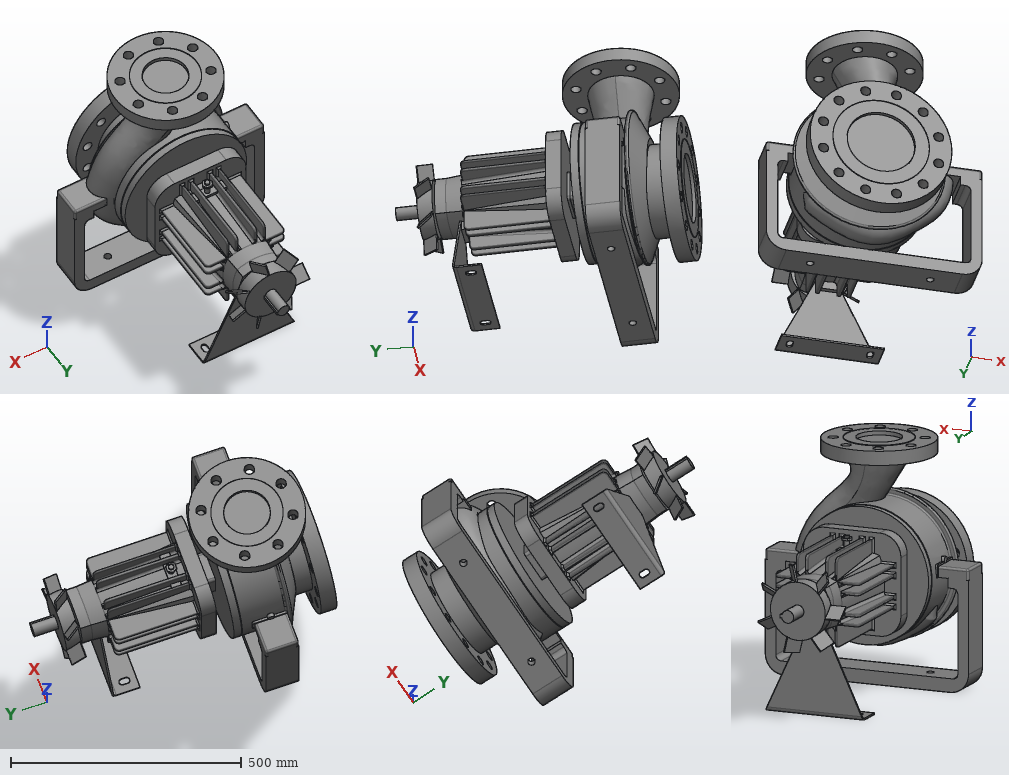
import cadquery as cq
import math


BASE_Z = -254.0
DISCHARGE_Z = 292.1
SUCTION_Y = -152.4
SHAFT_END_Y = 495.3
SUCTION_DROP = 15.875
OVERLAP = 3.0

BOLT_HOLE_DIA = 22.23
RAISED_FACE = 1.6
SUCTION_FLANGE_DIA = 317.5
SUCTION_RAISED_DIA = 215.9
SUCTION_BORE_DIA = 152.4
SUCTION_BOLT_CIRCLE = 266.7
SUCTION_BOLTS = 12
SUCTION_FLANGE_THICK = 36.5
SUCTION_BORE_DEPTH = 8.0
DISCHARGE_FLANGE_DIA = 255.0
DISCHARGE_RAISED_DIA = 157.16
DISCHARGE_BORE_DIA = 101.6
DISCHARGE_BOLT_CIRCLE = 200.0
DISCHARGE_BOLTS = 8
DISCHARGE_FLANGE_THICK = 31.75
DISCHARGE_BORE_DEPTH = 9.0

CASING_DIA = 309.0
CASING_BACK_Y = 85.0
JOINT_Y = 66.5
JOINT_WIDTH = 1.5
JOINT_DEPTH = 1.0
LIP_RADIUS = 170.5
LIP_BACK_Y = -37.5
LIP_FRONT_Y = -46.0
LIP_ROUND = 4.0
LIP_ROOT_RADIUS = 4.0
CONE_FRONT_Y = -76.0
CONE_FRONT_RADIUS = 104.0
CONE_BACK_RADIUS = 166.5
SUCTION_NECK_DIA = 206.0

SCROLL_SECTIONS = [
    (-165.0, 152.0, 60.0, 60.0),
    (-140.0, 169.0, 60.0, 68.0),
    (-100.0, 171.0, 62.0, 68.0),
    (-70.0, 176.0, 66.0, 68.0),
    (-46.0, 173.0, 70.0, 72.0),
    (-23.0, 187.5, 84.0, 80.0),
    (3.0, 197.0, 90.0, 86.0),
]
SCROLL_LEAD = 6.0

OUTLET_SECTIONS = [
    (119.5, 85.0, 124.0, 88.0, 92.0),
    (58.0, 143.0, 131.0, 94.0, 98.0),
    (19.0, 196.0, 115.0, 93.0, 118.0),
    (5.5, 234.0, 95.0, 122.0, 135.0),
    (0.0, DISCHARGE_Z - RAISED_FACE - DISCHARGE_FLANGE_THICK + OVERLAP, 90.0, 143.0, 146.0),
]

FRAME_LEFT_X = -228.6
FRAME_RIGHT_X = 254.0
FRAME_WIDTH = 76.2
FRAME_TOP_Z = 25.4
FRAME_WALL = 25.4
FRAME_FLOOR = 31.0
FRAME_OUTER_RADIUS = 44.45
FRAME_INNER_RADIUS = 12.7
ARM_BOTTOM_Z = -20.5
ARM_STEP_Z = 1.0
ARM_HOOK = 23.0
ARM_EDGE_ROUND = 5.0
EAR_WIDTH = 86.0
EAR_OUTER_X = 157.0
EAR_INNER_X = 140.0
EAR_TOP_Z = 29.5
PIN_DIA = 16.0
PIN_Z = 31.5
PIN_END_X = 158.0
FRAME_HOLE_DIA = 16.0
FRAME_HOLE_INSET = 107.0

PLATE_BACK_Y = 146.0
PLATE_FRONT_Y = 112.0
PLATE_SIZE = 231.0
PLATE_CORNER = 50.0
NECK_SIZE = 72.0
NECK_ROUND = 6.5
NECK_SHOULDER = 2.0
NECK_SHOULDER_LENGTH = 6.0
CAP_END_Y = 401.5
CAP_START_Y = 377.0
BODY_CORNER = 47.0
BODY_BULGE = 58.0
WAIST_Y = 341.0
WAIST_CORNER = 49.5
WAIST_BULGE = 61.0
BASE_CORNER = 65.0
BASE_BULGE = 76.5
FIN_END_Y = 338.0
FIN_TIP = 100.5
FIN_ROOT = 40.0
FIN_ROUND = 11.0
FIN_FACES = [(20.5, 27.5), (43.5, 49.0)]
FIN_ROOT_RADIUS = 6.5
FIN_ROOT_RISE = 0.3
FIN_EDGE_ROUND = 1.5
FIN_FOOT = 4.0
NAME_BAR_Y = 175.0
NAME_BAR_WIDTH = 23.0
NAME_BAR_TOP = 79.0
NIPPLE_HEX = 25.0
NIPPLE_HEX_BOTTOM = 101.0
NIPPLE_HEX_TOP = 106.0
NIPPLE_DIA = 12.0
NIPPLE_TOP = 110.0

SHAFT_DIA = 28.56
COLLAR_DIA = 35.0
KEY_WIDTH = 8.0
KEY_TOP = 17.5
FAN_BACK_Y = 440.0
FAN_FRONT_Y = 406.0
FAN_HUB_DIA = 130.0
FAN_TIP_RADIUS = 100.0
FAN_BLADES = 7
BLADE_THICK = 4.0
BLADE_TILT = 36.0

FOOT_BACK_Y = 352.0
FOOT_THICK = 4.0
FOOT_FRONT_Y = 287.5
FOOT_HALF_WIDTH = 115.0
FOOT_TOP_HALF_WIDTH = 24.0
FOOT_TOP_Z = -55.0
FOOT_BEND_RADIUS = 9.5
SLOT_X = 90.0
SLOT_Y = 315.0
SLOT_LENGTH = 24.0
SLOT_WIDTH = 14.0
PAD_BOTTOM_Z = -80.0
PAD_WIDTH = 48.0


def cylinder_y(diameter, y_start, y_end, z=0.0):
    """Solid cylinder along Y between two stations."""
    return (
        cq.Workplane("XZ", origin=(0, y_start, z))
        .circle(diameter / 2)
        .extrude(y_start - y_end)
    )


def block(x_range, y_range, z_range):
    """Box spanning the given (low, high) ranges."""
    spans = (x_range, y_range, z_range)
    sizes = [high - low for low, high in spans]
    middle = tuple((low + high) / 2 for low, high in spans)
    return cq.Workplane("XY").box(*sizes).translate(middle)


def pipe_flange(diameter, thickness, raised_dia, bolt_circle, bolts):
    """Flange with its raised face at Z = 0 and its bolt holes straddling the axes."""
    flange = (
        cq.Workplane("XY", origin=(0, 0, -RAISED_FACE))
        .circle(diameter / 2)
        .extrude(-thickness)
    )
    flange = flange.union(cq.Workplane("XY").circle(raised_dia / 2).extrude(-RAISED_FACE - OVERLAP))
    holes = (
        cq.Workplane("XY")
        .polarArray(bolt_circle / 2, 180.0 / bolts, 360, bolts)
        .circle(BOLT_HOLE_DIA / 2)
        .extrude(-thickness - 2 * RAISED_FACE)
    )
    return flange.cut(holes)


def suction_flange():
    flange = pipe_flange(
        SUCTION_FLANGE_DIA, SUCTION_FLANGE_THICK, SUCTION_RAISED_DIA, SUCTION_BOLT_CIRCLE, SUCTION_BOLTS
    )
    flange = flange.rotate((0, 0, 0), (1, 0, 0), 90)
    return flange.translate((0, SUCTION_Y, -SUCTION_DROP))


def discharge_flange():
    flange = pipe_flange(
        DISCHARGE_FLANGE_DIA,
        DISCHARGE_FLANGE_THICK,
        DISCHARGE_RAISED_DIA,
        DISCHARGE_BOLT_CIRCLE,
        DISCHARGE_BOLTS,
    )
    return flange.translate((0, 0, DISCHARGE_Z))


def volute():
    """Tube that winds out of the casing and rises to the discharge flange."""
    stations = []
    for angle, outer_radius, in_plane, across in SCROLL_SECTIONS:
        turn = math.radians(angle)
        radius = outer_radius - in_plane / 2
        flow = angle + 90.0 - SCROLL_LEAD
        stations.append((radius * math.cos(turn), radius * math.sin(turn), flow, in_plane, across))
    stations += OUTLET_SECTIONS

    wires = []
    for x, z, flow, in_plane, across in stations:
        turn = math.radians(flow)
        plane = cq.Plane(
            origin=(x, 0, z),
            xDir=(0, 1, 0),
            normal=(math.cos(turn), 0, math.sin(turn)),
        )
        section = cq.Workplane(plane).ellipse(across / 2, in_plane / 2)
        wires.append(section.val())
    return cq.Workplane("XY").newObject([cq.Solid.makeLoft(wires)])


def casing():
    body = cylinder_y(CASING_DIA, LIP_FRONT_Y, CASING_BACK_Y)
    groove = cylinder_y(CASING_DIA + 2, JOINT_Y - JOINT_WIDTH / 2, JOINT_Y + JOINT_WIDTH / 2)
    groove = groove.cut(cylinder_y(CASING_DIA - 2 * JOINT_DEPTH, JOINT_Y - JOINT_WIDTH, JOINT_Y + JOINT_WIDTH))
    lip = cylinder_y(2 * LIP_RADIUS, LIP_FRONT_Y, LIP_BACK_Y).edges().fillet(LIP_ROUND)
    casing_radius = CASING_DIA / 2
    hollow_diagonal = LIP_ROOT_RADIUS * (1 - math.sqrt(0.5))
    lip_root = (
        cq.Workplane("XY")
        .moveTo(casing_radius, LIP_BACK_Y + LIP_ROOT_RADIUS)
        .threePointArc(
            (casing_radius + hollow_diagonal, LIP_BACK_Y + hollow_diagonal),
            (casing_radius + LIP_ROOT_RADIUS, LIP_BACK_Y),
        )
        .lineTo(casing_radius, LIP_FRONT_Y + LIP_ROUND)
        .close()
        .revolve(360, (0, 0, 0), (0, 1, 0))
    )
    cone = (
        cq.Workplane("XY")
        .moveTo(0, LIP_BACK_Y)
        .lineTo(CONE_BACK_RADIUS, LIP_BACK_Y)
        .lineTo(CONE_BACK_RADIUS, LIP_FRONT_Y)
        .lineTo(CONE_FRONT_RADIUS, CONE_FRONT_Y)
        .lineTo(0, CONE_FRONT_Y)
        .close()
        .revolve(360, (0, 0, 0), (0, 1, 0))
    )
    neck_front = SUCTION_Y + RAISED_FACE + SUCTION_FLANGE_THICK - OVERLAP
    neck = cylinder_y(SUCTION_NECK_DIA, neck_front, LIP_FRONT_Y, -SUCTION_DROP)
    return body.cut(groove).union(lip).union(lip_root).union(cone).union(neck)


def support_frame():
    """U-shaped frame whose hooked arms carry the casing by two ears."""
    half_width = FRAME_WIDTH / 2
    y_range = (-half_width, half_width)
    left_inside = FRAME_LEFT_X + FRAME_WALL
    right_inside = FRAME_RIGHT_X - FRAME_WALL
    floor_z = BASE_Z + FRAME_FLOOR
    frame = block((FRAME_LEFT_X, FRAME_RIGHT_X), y_range, (BASE_Z, ARM_STEP_Z))
    frame = frame.edges("|Y and <Z").fillet(FRAME_OUTER_RADIUS)
    window = block((left_inside, right_inside), y_range, (floor_z, ARM_BOTTOM_Z))
    frame = frame.cut(window.edges("|Y").fillet(FRAME_INNER_RADIUS))
    gap = (left_inside + ARM_HOOK, right_inside - ARM_HOOK)
    frame = frame.cut(block(gap, y_range, (ARM_BOTTOM_Z - OVERLAP, ARM_STEP_Z)))

    arms = block((FRAME_LEFT_X, FRAME_RIGHT_X), y_range, (ARM_STEP_Z, FRAME_TOP_Z))
    arms = arms.edges(">Z or |Z").fillet(ARM_EDGE_ROUND)
    arms = arms.cut(block((-EAR_INNER_X, EAR_INNER_X), y_range, (ARM_STEP_Z, FRAME_TOP_Z)))
    frame = frame.union(arms)

    for side in (-1, 1):
        x_range = sorted((side * EAR_INNER_X, side * EAR_OUTER_X))
        ear = block(x_range, (-EAR_WIDTH / 2, EAR_WIDTH / 2), (ARM_STEP_Z, EAR_TOP_Z))
        frame = frame.union(ear.edges("|X and >Z").fillet(ARM_EDGE_ROUND))
        pin = (
            cq.Workplane("YZ", origin=(side * EAR_INNER_X, 0, PIN_Z))
            .circle(PIN_DIA / 2)
            .extrude(side * (PIN_END_X - EAR_INNER_X))
        )
        frame = frame.union(pin)

    hole_places = [(FRAME_LEFT_X + FRAME_HOLE_INSET, 0), (FRAME_RIGHT_X - FRAME_HOLE_INSET, 0)]
    holes = (
        cq.Workplane("XY", origin=(0, 0, BASE_Z))
        .pushPoints(hole_places)
        .circle(FRAME_HOLE_DIA / 2)
        .extrude(FRAME_FLOOR)
    )
    return frame.cut(holes)


def barrel_wire(y, corner, bulge):
    """Square with bowed sides, in the XZ plane at station y."""
    outline = (
        cq.Workplane("XZ", origin=(0, y, 0))
        .moveTo(-corner, -corner)
        .threePointArc((0, -bulge), (corner, -corner))
        .threePointArc((bulge, 0), (corner, corner))
        .threePointArc((0, bulge), (-corner, corner))
        .threePointArc((-bulge, 0), (-corner, -corner))
        .close()
    )
    return outline.val()


def barrel(start, end):
    """Straight-sided body between two bowed squares, each given as (y, corner, bulge)."""
    return cq.Workplane("XY").newObject([cq.Solid.makeLoft([barrel_wire(*start), barrel_wire(*end)], True)])


def barrel_height(x, corner, bulge):
    """Height of a bowed side above the axis at offset x."""
    rise = bulge - corner
    radius = (corner ** 2 + rise ** 2) / (2 * rise)
    return bulge - radius + math.sqrt(radius ** 2 - x ** 2)


def root_wire(inner_face, y, corner, bulge):
    """Section of the hollow that blends a fin's inner face into the body at station y."""
    rim_x = inner_face - FIN_ROOT_RADIUS
    rim_z = barrel_height(rim_x, corner, bulge) + FIN_ROOT_RISE
    diagonal = FIN_ROOT_RADIUS * math.sqrt(0.5)
    embedded_x = inner_face + OVERLAP
    outline = (
        cq.Workplane("XZ", origin=(0, y, 0))
        .moveTo(rim_x, FIN_ROOT)
        .lineTo(rim_x, rim_z)
        .threePointArc(
            (rim_x + diagonal, rim_z + FIN_ROOT_RADIUS - diagonal),
            (inner_face, rim_z + FIN_ROOT_RADIUS),
        )
        .lineTo(embedded_x, rim_z + FIN_ROOT_RADIUS)
        .lineTo(embedded_x, FIN_ROOT)
        .close()
    )
    return outline.val()


def cooling_fin(inner_face, outer_face):
    """Fin on the top side at +X with its foot flare and root hollow and a rounded free corner."""
    corners = [(inner_face, FIN_ROOT), (outer_face, FIN_ROOT), (outer_face, FIN_TIP), (inner_face, FIN_TIP)]
    start_y = PLATE_BACK_Y - OVERLAP
    profile = cq.Workplane("XZ", origin=(0, start_y, 0)).polyline(corners).close()
    fin = profile.extrude(start_y - FIN_END_Y)
    fin = fin.edges("|X and >Y and >Z").fillet(FIN_ROUND)
    fin = fin.faces(">Z").edges("|Y").fillet(FIN_EDGE_ROUND)
    foot = (
        cq.Workplane("XZ", origin=(0, PLATE_BACK_Y, 0))
        .polyline(corners)
        .close()
        .offset2D(FIN_FOOT, "intersection")
        .extrude(-FIN_FOOT, taper=45)
    )
    root = cq.Solid.makeLoft(
        [
            root_wire(inner_face, PLATE_BACK_Y, BASE_CORNER, BASE_BULGE),
            root_wire(inner_face, WAIST_Y, WAIST_CORNER, WAIST_BULGE),
        ],
        True,
    )
    return fin.union(foot).union(cq.Workplane(root))


def grease_nipple():
    stem = (
        cq.Workplane("XY", origin=(0, NAME_BAR_Y, 0))
        .circle(NIPPLE_DIA / 2)
        .extrude(NIPPLE_TOP)
    )
    nut = (
        cq.Workplane("XY", origin=(0, NAME_BAR_Y, NIPPLE_HEX_BOTTOM))
        .polygon(6, NIPPLE_HEX)
        .extrude(NIPPLE_HEX_TOP - NIPPLE_HEX_BOTTOM)
    )
    return stem.union(nut)


def bearing_housing():
    plate = block(
        (-PLATE_SIZE / 2, PLATE_SIZE / 2), (PLATE_FRONT_Y, PLATE_BACK_Y), (-PLATE_SIZE / 2, PLATE_SIZE / 2)
    )
    housing = plate.edges("|Y").fillet(PLATE_CORNER)
    neck_start = CASING_BACK_Y - OVERLAP
    for size, y_start in (
        (NECK_SIZE, neck_start),
        (NECK_SIZE + 2 * NECK_SHOULDER, PLATE_FRONT_Y - NECK_SHOULDER_LENGTH),
    ):
        across = (-size / 2, size / 2)
        neck = block(across, (y_start, PLATE_FRONT_Y + OVERLAP), across)
        housing = housing.union(neck.edges("|Y").fillet(NECK_ROUND))

    base = (PLATE_BACK_Y, BASE_CORNER, BASE_BULGE)
    waist = (WAIST_Y, WAIST_CORNER, WAIST_BULGE)
    cap_start = (CAP_START_Y, BODY_CORNER, BODY_BULGE)
    cap_end = (CAP_END_Y, BODY_CORNER, BODY_BULGE)
    housing = housing.union(barrel(base, waist)).union(barrel(waist, cap_start)).union(barrel(cap_start, cap_end))

    name_bar = block(
        (-BODY_CORNER, BODY_CORNER),
        (NAME_BAR_Y - NAME_BAR_WIDTH / 2, NAME_BAR_Y + NAME_BAR_WIDTH / 2),
        (0, NAME_BAR_TOP),
    )
    housing = housing.union(name_bar).union(grease_nipple())

    side = cq.Workplane("XY")
    for faces in FIN_FACES:
        fin = cooling_fin(*faces)
        side = side.add(fin).add(fin.mirror("YZ"))
    fins = cq.Workplane("XY")
    for quarter in range(4):
        for fin in side.vals():
            fins = fins.add(fin.rotate((0, 0, 0), (0, 1, 0), 90 * quarter))
    return housing.union(fins)


def shaft_and_fan():
    shaft = cylinder_y(SHAFT_DIA, CAP_START_Y, SHAFT_END_Y)
    shaft = shaft.union(cylinder_y(COLLAR_DIA, CAP_START_Y, FAN_FRONT_Y + OVERLAP))
    key = block((0, KEY_TOP), (FAN_BACK_Y - OVERLAP, SHAFT_END_Y), (-KEY_WIDTH / 2, KEY_WIDTH / 2))
    fan = cylinder_y(FAN_HUB_DIA, FAN_FRONT_Y, FAN_BACK_Y)
    middle_y = (FAN_FRONT_Y + FAN_BACK_Y) / 2
    tilt = math.radians(BLADE_TILT)
    blade_length = (FAN_BACK_Y - FAN_FRONT_Y - BLADE_THICK * math.sin(tilt)) / math.cos(tilt)
    root = FAN_HUB_DIA / 2 - 2 * OVERLAP
    blade = block(
        (-FAN_TIP_RADIUS, -root), (-blade_length / 2, blade_length / 2), (-BLADE_THICK / 2, BLADE_THICK / 2)
    )
    blade = blade.rotate((0, 0, 0), (1, 0, 0), -BLADE_TILT).translate((0, middle_y, 0))
    for index in range(FAN_BLADES):
        fan = fan.union(blade.rotate((0, 0, 0), (0, 1, 0), 360.0 * index / FAN_BLADES))
    return shaft.union(key).union(fan)


def rear_foot():
    """Bent-plate foot under the rear of the bearing housing."""
    width = (-FOOT_HALF_WIDTH, FOOT_HALF_WIDTH)
    outer = block(width, (FOOT_FRONT_Y, FOOT_BACK_Y), (BASE_Z, FOOT_TOP_Z))
    inner = block(width, (FOOT_FRONT_Y, FOOT_BACK_Y - FOOT_THICK), (BASE_Z + FOOT_THICK, FOOT_TOP_Z))
    outer = outer.edges("|X and <Z and >Y").fillet(FOOT_BEND_RADIUS)
    inner = inner.edges("|X and <Z and >Y").fillet(FOOT_BEND_RADIUS - FOOT_THICK)
    outline = (
        cq.Workplane("XZ", origin=(0, FOOT_FRONT_Y, 0))
        .polyline([
            (-FOOT_HALF_WIDTH, BASE_Z),
            (FOOT_HALF_WIDTH, BASE_Z),
            (FOOT_HALF_WIDTH, BASE_Z + FOOT_THICK),
            (FOOT_TOP_HALF_WIDTH, FOOT_TOP_Z),
            (-FOOT_TOP_HALF_WIDTH, FOOT_TOP_Z),
            (-FOOT_HALF_WIDTH, BASE_Z + FOOT_THICK),
        ])
        .close()
        .extrude(FOOT_FRONT_Y - FOOT_BACK_Y)
    )
    slots = (
        cq.Workplane("XY", origin=(0, 0, BASE_Z))
        .pushPoints([(-SLOT_X, SLOT_Y), (SLOT_X, SLOT_Y)])
        .slot2D(SLOT_LENGTH, SLOT_WIDTH, 90)
        .extrude(FOOT_THICK)
    )
    pad = block(
        (-PAD_WIDTH / 2, PAD_WIDTH / 2),
        (WAIST_Y - OVERLAP, FOOT_BACK_Y - FOOT_THICK),
        (PAD_BOTTOM_Z, -BODY_CORNER),
    )
    return outer.cut(inner).intersect(outline).cut(slots).union(pad)


def suction_bore():
    return cylinder_y(SUCTION_BORE_DIA, SUCTION_Y, SUCTION_Y + SUCTION_BORE_DEPTH, -SUCTION_DROP)


def discharge_bore():
    return (
        cq.Workplane("XY", origin=(0, 0, DISCHARGE_Z))
        .circle(DISCHARGE_BORE_DIA / 2)
        .extrude(-DISCHARGE_BORE_DEPTH)
    )


result = casing()
for component in (
    volute(),
    suction_flange(),
    discharge_flange(),
    support_frame(),
    bearing_housing(),
    shaft_and_fan(),
    rear_foot(),
):
    result = result.union(component)
result = result.cut(suction_bore()).cut(discharge_bore())